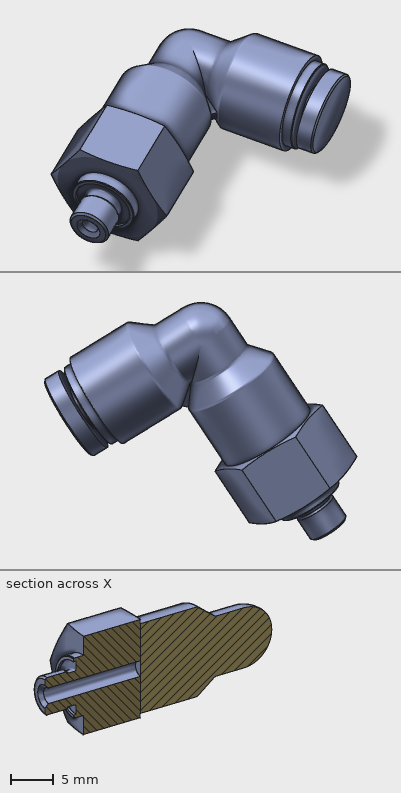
import cadquery as cq
import math


pipe_diameter = 8.0
body_diameter = 11.9
cone_start = 4.0
cone_end = 6.5
leg_length = 14.5
cone_edge_radius = 0.5

web_thickness = 1.0
web_reach = 6.1

hex_across_flats = 13.0
hex_length = 8.0
hex_corner_angle = 15.0
collar_diameter = 8.0
collar_length = 1.4
collar_chamfer = 0.1
recess_diameter = 7.0
recess_depth = 0.35
neck_diameter = 4.5
neck_length = 0.7
neck_root_radius = 0.2
spigot_diameter = 5.0
spigot_length = 3.3
spigot_chamfer = 0.25
bore_diameter = 2.0
bore_mouth_diameter = 3.0

ring_diameter = 10.6
ring_length = 1.25
ring_chamfer = 0.1
button_neck_diameter = 5.5
button_neck_length = 0.7
button_width = 10.8
button_height = 8.6
button_length = 2.05
button_chamfer = 0.2

hex_end = leg_length + hex_length
collar_end = hex_end + collar_length
recess_floor = collar_end - recess_depth
neck_end = collar_end + neck_length
stud_end = neck_end + spigot_length
ring_end = leg_length + ring_length
button_start = ring_end + button_neck_length


def cylinder_y(diameter, start, end):
    """Cylinder about the Y axis between two distances along -Y."""
    return cq.Workplane("XZ", origin=(0, -start, 0)).circle(diameter / 2).extrude(end - start)


def cylinder_x(diameter, start, end):
    """Cylinder about the X axis between two distances along +X."""
    return cq.Workplane("YZ", origin=(start, 0, 0)).circle(diameter / 2).extrude(end - start)


def make_tube_leg():
    """Leg along +X: pipe, cone with rounded edges, then the wide body."""
    leg = (
        cq.Workplane("XY")
        .lineTo(0, pipe_diameter / 2)
        .lineTo(cone_start, pipe_diameter / 2)
        .lineTo(cone_end, body_diameter / 2)
        .lineTo(leg_length, body_diameter / 2)
        .lineTo(leg_length, 0)
        .close()
        .revolve(360, (0, 0, 0), (1, 0, 0))
    )
    return leg.faces("%CONE").edges("%CIRCLE").fillet(cone_edge_radius)


def make_web():
    """Thin web in the inner corner, with its outer edge square to the elbow's diagonal."""
    return (
        cq.Workplane("XY")
        .polyline([(0, 0), (2 * web_reach, 0), (0, -2 * web_reach)])
        .close()
        .extrude(web_thickness / 2, both=True)
    )


def make_housing():
    tube_leg = make_tube_leg()
    stud_leg = tube_leg.rotate((0, 0, 0), (0, 0, 1), -90)
    corner = cq.Workplane("XY").sphere(pipe_diameter / 2)
    return tube_leg.union(stud_leg).union(corner).union(make_web())


def make_hexagon():
    """Hexagon with its corners turned down to the across-flats circle at both ends."""
    flat_radius = hex_across_flats / 2
    corner_radius = flat_radius / math.cos(math.radians(30))
    corner_drop = (corner_radius - flat_radius) * math.tan(math.radians(hex_corner_angle))
    hexagon = (
        cq.Workplane("XZ", origin=(0, -leg_length, 0))
        .polygon(6, 2 * corner_radius)
        .extrude(hex_length)
    )
    turned = (
        cq.Workplane("XY")
        .moveTo(0, -leg_length)
        .lineTo(flat_radius, -leg_length)
        .lineTo(corner_radius, -leg_length - corner_drop)
        .lineTo(corner_radius, -hex_end + corner_drop)
        .lineTo(flat_radius, -hex_end)
        .lineTo(0, -hex_end)
        .close()
        .revolve(360, (0, 0, 0), (0, 1, 0))
    )
    return hexagon.intersect(turned)


def make_bore():
    """Bore through the stud with a 45-degree countersunk mouth."""
    mouth_depth = (bore_mouth_diameter - bore_diameter) / 2
    return (
        cq.Workplane("XY")
        .moveTo(0, -leg_length)
        .lineTo(bore_diameter / 2, -leg_length)
        .lineTo(bore_diameter / 2, -stud_end + mouth_depth)
        .lineTo(bore_mouth_diameter / 2, -stud_end)
        .lineTo(0, -stud_end)
        .close()
        .revolve(360, (0, 0, 0), (0, 1, 0))
    )


def make_stud():
    collar = cylinder_y(collar_diameter, hex_end, collar_end).faces("<Y").chamfer(collar_chamfer)
    recess = cylinder_y(recess_diameter, recess_floor, collar_end)
    neck = cylinder_y(neck_diameter, recess_floor, neck_end)
    spigot = cylinder_y(spigot_diameter, neck_end, stud_end).faces("<Y or >Y").chamfer(spigot_chamfer)
    base = make_hexagon().union(collar).cut(recess).union(neck)
    neck_edges = base.edges("%CIRCLE").edges(cq.selectors.RadiusNthSelector(0))
    base = neck_edges.edges(">Y").fillet(neck_root_radius)
    return base.union(spigot).cut(make_bore())


def make_collar_ring():
    return cylinder_x(ring_diameter, leg_length, ring_end).faces(">X").chamfer(ring_chamfer)


def make_release_button():
    """Oval push plate on a round neck."""
    plate = (
        cq.Workplane("YZ", origin=(button_start, 0, 0))
        .ellipse(button_width / 2, button_height / 2)
        .extrude(button_length)
        .faces(">X")
        .chamfer(button_chamfer)
    )
    return cylinder_x(button_neck_diameter, ring_end, button_start).union(plate)


housing = make_housing()
stud = make_stud()
collar_ring = make_collar_ring()
release_button = make_release_button()

result = cq.Compound.makeCompound(
    [housing.val(), stud.val(), collar_ring.val(), release_button.val()]
)